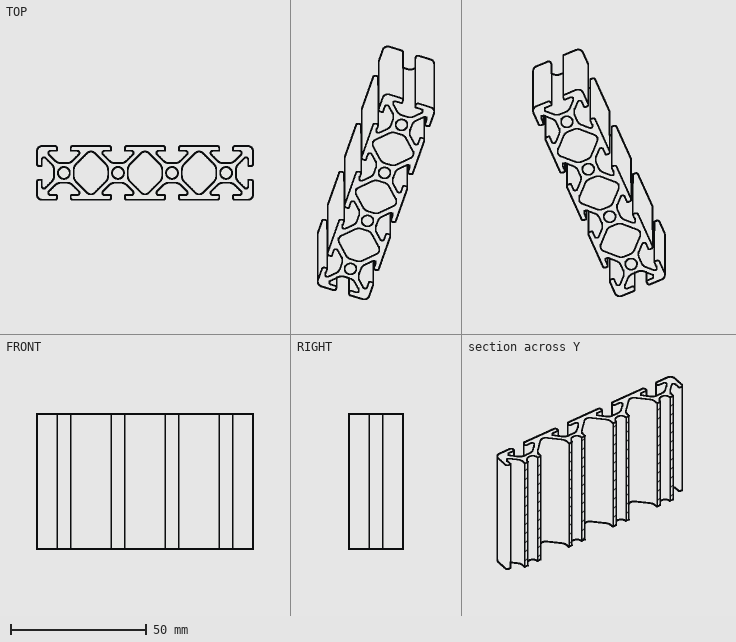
import cadquery as cq
import math

cell_count = 4
cell = 20.0
length = 50.0
outer_radius = 2.0

wall = 1.8
core_half = 3.7
bore_diameter = 4.3

slot_width = 5.0
lip_outer_radius = 0.8
lip_inner_radius = 0.3
undercut_radius = 0.8
core_radius = 3.0
cavity_tip_radius = 2.0

slot_half = slot_width / 2
half_cell = cell / 2
lip_level = half_cell - wall
web_offset = wall / math.sqrt(2)
floor_half = core_half - web_offset
undercut_half = lip_level - web_offset
clearance = 0.8

cell_centers = [(i - (cell_count - 1) / 2) * cell for i in range(cell_count)]
cavity_centers = [x + half_cell for x in cell_centers[:-1]]


def mirrored(points):
    """Close a right-hand outline with its mirror image across the Y axis."""
    return points + [(-x, y) for x, y in reversed(points)]


def round_corners(body, corners, radius):
    """Fillet the vertical edges standing at the given XY corners."""
    for x, y in corners:
        point = (x, y, length / 2)
        body = body.edges("|Z").edges(cq.selectors.NearestToPointSelector(point)).fillet(radius)
    return body


def slot_cutter():
    """T-slot opening towards +Y, placed on a cell centred at the origin."""
    floor = (floor_half, core_half)
    undercut = (undercut_half, lip_level)
    lip_inner = (slot_half, lip_level)
    lip_outer = (slot_half, half_cell)
    mouth_side = slot_half + lip_outer_radius + clearance
    mouth = [(mouth_side, half_cell), (mouth_side, half_cell + clearance)]

    outline = mirrored([floor, undercut, lip_inner, lip_outer] + mouth)
    cutter = cq.Workplane("XY").polyline(outline).close().extrude(length)
    cutter = round_corners(cutter, mirrored([floor]), core_radius)
    cutter = round_corners(cutter, mirrored([undercut]), undercut_radius)
    cutter = round_corners(cutter, mirrored([lip_inner]), lip_inner_radius)
    return round_corners(cutter, mirrored([lip_outer]), lip_outer_radius)


def cavity_cutter():
    """Diamond-shaped cavity between two neighbouring cells, centred at the origin."""
    side_x = half_cell - core_half
    tip_y = half_cell - web_offset
    tips = [(0, tip_y), (0, -tip_y)]
    sides = mirrored([(side_x, floor_half), (side_x, -floor_half)])

    outline = [tips[0]] + sides[:2] + [tips[1]] + sides[2:]
    cutter = cq.Workplane("XY").polyline(outline).close().extrude(length)
    cutter = round_corners(cutter, tips, cavity_tip_radius)
    return round_corners(cutter, sides, core_radius)


result = (
    cq.Workplane("XY")
    .rect(cell_count * cell, cell)
    .extrude(length)
    .edges("|Z")
    .fillet(outer_radius)
)

slot = slot_cutter()
z_axis = ((0, 0, 0), (0, 0, 1))
for center_x in cell_centers:
    for angle in (0, 180):
        result = result.cut(slot.rotate(*z_axis, angle).translate((center_x, 0, 0)))

for center_x, angle in ((cell_centers[0], 90), (cell_centers[-1], -90)):
    result = result.cut(slot.rotate(*z_axis, angle).translate((center_x, 0, 0)))

cavity = cavity_cutter()
for center_x in cavity_centers:
    result = result.cut(cavity.translate((center_x, 0, 0)))

bores = (
    cq.Workplane("XY")
    .pushPoints([(x, 0) for x in cell_centers])
    .circle(bore_diameter / 2)
    .extrude(length)
)
result = result.cut(bores)